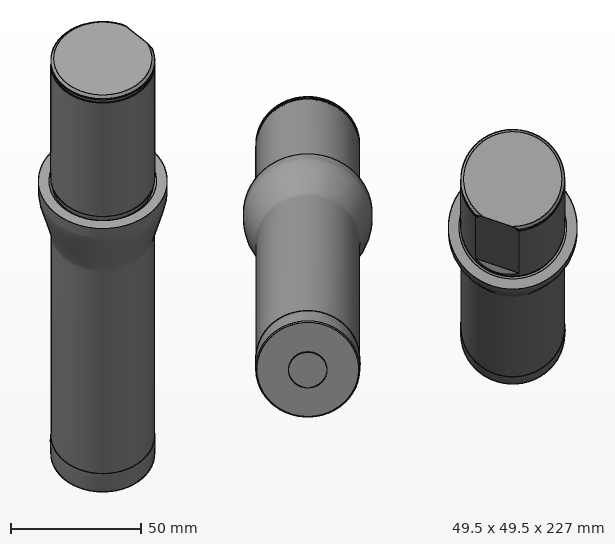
import cadquery as cq

total_height = 227.0
foot_height = 0.7
cap_top = 11.5
flare_bottom = 127.1
rim_bottom = 151.6
rim_top = 157.0

foot_diameter = 14.8
tube_diameter = 39.7
cap_diameter = 40.5
collar_diameter = 49.5
plug_diameter = 40.0
neck_diameter = 39.0

root_bend_height = 3.5
root_bend_inset = 0.5
crown_bend_height = 5.5
crown_bend_inset = 0.7

cap_bulge = 0.2
cap_chamfer = 0.5

mouth_chamfer = 1.1
neck_height = 1.1
neck_chamfer = 0.5
top_chamfer_width = 1.1
top_chamfer_height = 1.0
band_height = 1.8
band_depth = 0.5
band_top = 225.5
flat_offset = 18.0
flat_bottom = 162.5


def make_body():
    """Handle: capped tube with a flared collar at its upper end."""
    tube_radius = tube_diameter / 2
    cap_radius = cap_diameter / 2
    collar_radius = collar_diameter / 2
    foot_radius = foot_diameter / 2
    mouth_radius = neck_diameter / 2
    cap_edge_radius = cap_radius - cap_bulge
    cap_bottom = foot_height + cap_chamfer
    root_bend = (tube_radius + root_bend_inset, flare_bottom + root_bend_height)
    crown_bend = (collar_radius - crown_bend_inset, rim_bottom - crown_bend_height)
    upright = (0, 1)
    return (
        cq.Workplane("XZ")
        .lineTo(foot_radius, 0)
        .lineTo(foot_radius, foot_height)
        .lineTo(cap_edge_radius - cap_chamfer, foot_height)
        .lineTo(cap_edge_radius, cap_bottom)
        .threePointArc((cap_radius, (cap_bottom + cap_top) / 2), (cap_edge_radius, cap_top))
        .lineTo(tube_radius, cap_top)
        .lineTo(tube_radius, flare_bottom)
        .spline(
            [root_bend, crown_bend, (collar_radius, rim_bottom)],
            tangents=[upright, upright],
            includeCurrent=True,
        )
        .lineTo(collar_radius, rim_top)
        .lineTo(mouth_radius + mouth_chamfer, rim_top)
        .lineTo(mouth_radius, rim_top - mouth_chamfer)
        .lineTo(0, rim_top - mouth_chamfer)
        .close()
        .revolve(360, (0, 0), (0, 1))
    )


def make_plug():
    """Round plug standing on the collar, with a neck at its foot and a flat on +Y."""
    plug_radius = plug_diameter / 2
    neck_radius = neck_diameter / 2
    plug_bottom = rim_top - mouth_chamfer
    neck_top = rim_top + neck_height
    band_radius = plug_radius - band_depth
    band_bottom = band_top - band_height
    plug = (
        cq.Workplane("XZ")
        .moveTo(0, plug_bottom)
        .lineTo(neck_radius, plug_bottom)
        .lineTo(neck_radius, neck_top)
        .lineTo(plug_radius, neck_top + neck_chamfer)
        .lineTo(plug_radius, band_bottom)
        .lineTo(band_radius, band_bottom)
        .lineTo(band_radius, band_top)
        .lineTo(plug_radius, band_top)
        .lineTo(plug_radius, total_height - top_chamfer_height)
        .lineTo(plug_radius - top_chamfer_width, total_height)
        .lineTo(0, total_height)
        .close()
        .revolve(360, (0, 0), (0, 1))
    )
    return plug.cut(make_flat_cutter())


def make_flat_cutter():
    """Block that cuts the flat, with a 45 degree run-out at the flat's lower end."""
    depth = plug_diameter / 2 - flat_offset
    return (
        cq.Workplane("YZ")
        .moveTo(flat_offset, total_height)
        .lineTo(flat_offset, flat_bottom)
        .lineTo(flat_offset + depth, flat_bottom - depth)
        .lineTo(flat_offset + depth, total_height)
        .close()
        .extrude(plug_diameter / 2, both=True)
    )


body = make_body()
plug = make_plug()
result = cq.Compound.makeCompound([body.val(), plug.val()])